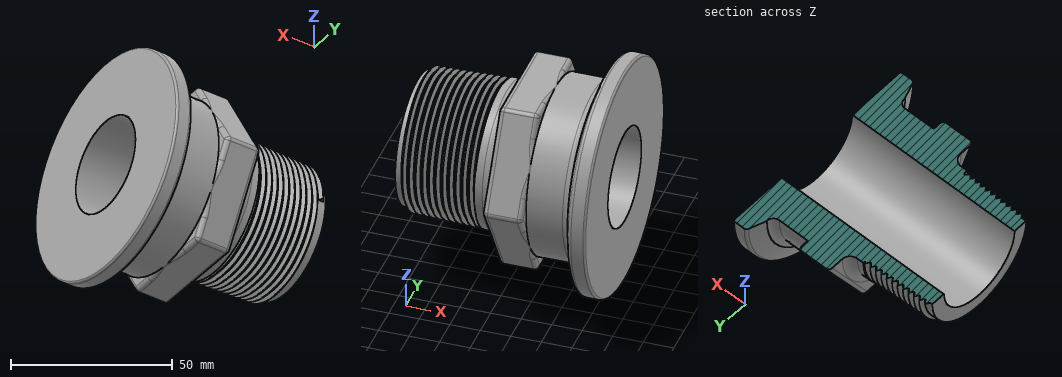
import cadquery as cq
import math

thread_end = 26.7
hex_start = 32.5
hex_end = 45.4
flange_face = 67.85

bore_diameter = 32.75
tip_radius = 21.8
neck_radius = 48.4 / 2
barrel_radius = 58.65 / 2
hex_sides = 6
hex_across_flats = 2 * barrel_radius
flange_radius = 39.0

taper = 1 / 32
ten_turns_length = 22.1
thread_pitch = ten_turns_length / 10
thread_height = 1.5
thread_base_width = 1.9
first_crest = 1.9
thread_overrun = 0.5
thread_embed = 0.15

flange_rim_start = 62.3
back_angle = math.radians(20)
back_step_radius = 32.1

neck_fillet = 3.3
hex_fillet = 1.55
barrel_fillet = 2.6
rim_back_fillet = 1.25
rim_face_fillet = 0.7
smallest_gap = 0.01


def core_radius(x):
    """Root radius of the thread at position x."""
    return tip_radius + taper * x


def revolve_about_x(outline):
    """Close the outline along the X axis and turn it into a round body."""
    return outline.close().revolve(360, (0, 0, 0), (1, 0, 0))


def make_threaded_neck():
    """Core of the thread, neck and the concave fillet that meets the hexagon."""
    diagonal = math.sqrt(0.5)
    outline = (
        cq.Workplane("XY")
        .lineTo(0, tip_radius)
        .lineTo(thread_end, core_radius(thread_end))
        .lineTo(thread_end, neck_radius)
        .lineTo(hex_start - neck_fillet, neck_radius)
        .threePointArc(
            (hex_start - neck_fillet * (1 - diagonal), neck_radius + neck_fillet * (1 - diagonal)),
            (hex_start, neck_radius + neck_fillet),
        )
        .lineTo(hex_end, neck_radius + neck_fillet)
        .lineTo(hex_end, 0)
    )
    return revolve_about_x(outline)


def make_thread_ridge():
    """Right-handed triangular ridge wound on the tapered core, starting on the +Y side."""
    length = thread_end + thread_overrun - first_crest
    root = core_radius(first_crest)
    base = root - thread_embed
    half_base = thread_base_width / 2 * (1 + thread_embed / thread_height)
    spine = cq.Wire.makeHelix(thread_pitch, length, root, angle=math.degrees(math.atan(taper)))
    ridge = (
        cq.Workplane("XZ")
        .moveTo(base, -half_base)
        .lineTo(root + thread_height, 0)
        .lineTo(base, half_base)
        .close()
        .sweep(cq.Workplane(spine), isFrenet=True)
    )
    return ridge.rotate((0, 0, 0), (1, 1, 1), 120).translate((first_crest, 0, 0))


def make_hexagon():
    """Wrench hexagon with two corners on the Y axis and every edge rounded."""
    corner_diameter = hex_across_flats / math.cos(math.pi / hex_sides)
    return (
        cq.Workplane("YZ", origin=(hex_start, 0, 0))
        .polygon(hex_sides, corner_diameter)
        .extrude(hex_end - hex_start)
        .edges()
        .fillet(hex_fillet)
    )


def at_position(x):
    """Selector for edges lying in the plane at position x."""
    margin = 0.01
    reach = 2 * flange_radius
    low = (x - margin, -reach, -reach)
    high = (x + margin, reach, reach)
    return cq.selectors.BoxSelector(low, high, boundingbox=True)


def make_flanged_barrel():
    """Plain barrel running from inside the hexagon to the clamp flange."""
    back_foot = flange_rim_start - (flange_radius - back_step_radius) * math.tan(back_angle)
    outline = (
        cq.Workplane("XY")
        .moveTo(hex_start + hex_fillet, 0)
        .lineTo(hex_start + hex_fillet, barrel_radius)
        .lineTo(back_foot, barrel_radius)
        .lineTo(back_foot, back_step_radius)
        .lineTo(flange_rim_start, flange_radius)
        .lineTo(flange_face, flange_radius)
        .lineTo(flange_face, 0)
    )
    barrel = revolve_about_x(outline)
    smallest = cq.selectors.RadiusNthSelector(0)
    largest = cq.selectors.RadiusNthSelector(-1)
    for x, edge, fillet in (
        (back_foot, smallest, barrel_fillet),
        (flange_rim_start, largest, rim_back_fillet),
        (flange_face, largest, rim_face_fillet),
    ):
        circles = barrel.edges("%CIRCLE").edges(at_position(x))
        barrel = circles.edges(edge).fillet(fillet)
    return barrel


def runout_section(distance):
    """Section of the hexagon's back edge, at a distance along it from the middle of a flat.

    The rounded edge keeps its radius but ends on the circle where the barrel leaves the hexagon.
    """
    gap = hex_across_flats / 2 - math.sqrt(barrel_radius ** 2 - distance ** 2)
    gap = max(gap, smallest_gap)

    def point(x, depth):
        return cq.Vector(x, distance, hex_across_flats / 2 - depth)

    def offset(depth):
        return math.sqrt(hex_fillet ** 2 - (hex_fillet - depth) ** 2)

    tangent_x = hex_end - offset(gap)
    inner_x = hex_end - 2 * hex_fillet
    inner_depth = 2 * hex_fillet
    tangent = point(tangent_x, 0)
    end = point(hex_end, gap)
    middle = point(tangent_x + offset(gap / 4), gap / 4)
    corners = [end, point(hex_end, inner_depth), point(inner_x, inner_depth), point(inner_x, 0), tangent]
    edges = [cq.Edge.makeThreePointArc(tangent, middle, end)]
    edges += [cq.Edge.makeLine(a, b) for a, b in zip(corners, corners[1:])]
    return cq.Wire.assembleEdges(edges)


def make_edge_runout():
    """Material that fades the rounded back edge out towards the middle of the upper flat."""
    full_length = math.sqrt(barrel_radius ** 2 - (barrel_radius - hex_fillet) ** 2)
    steps = 6
    half = cq.Solid.makeLoft([runout_section(full_length * i / steps) for i in range(steps + 1)])
    return cq.Workplane(half).union(cq.Workplane(half.mirror("XZ")))


body = make_threaded_neck().union(make_hexagon()).union(make_flanged_barrel())
runout = make_edge_runout()
for flat in range(hex_sides):
    body = body.union(runout.rotate((0, 0, 0), (1, 0, 0), 360 / hex_sides * flat))
body = body.union(make_thread_ridge())
bore = cq.Workplane("YZ").circle(bore_diameter / 2).extrude(flange_face)
result = body.cut(bore).solids()